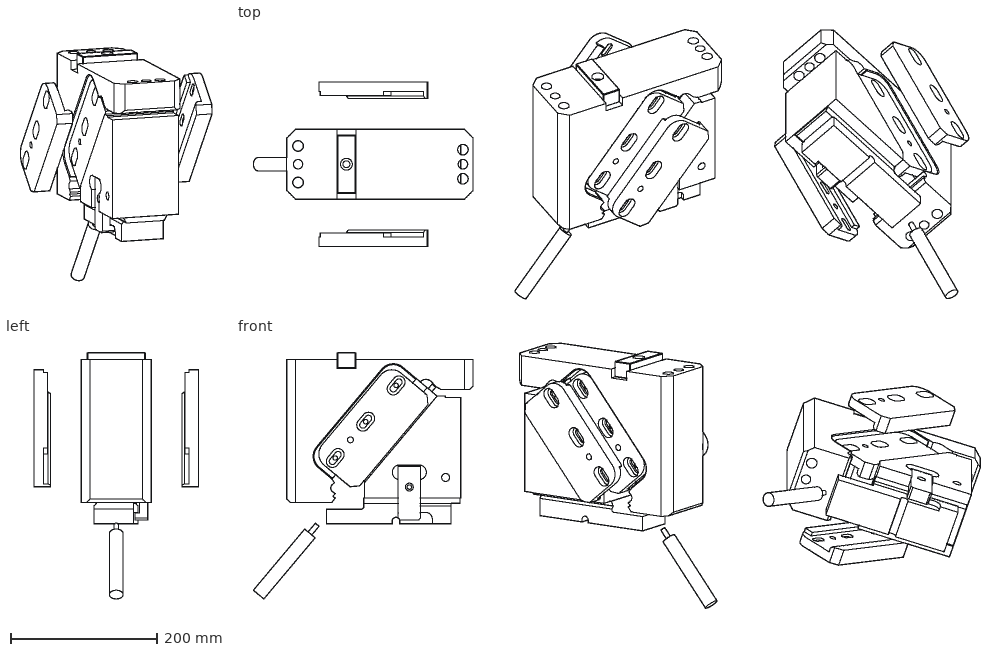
import cadquery as cq
import math


SLOPE = math.radians(50)
SLOPE_X, SLOPE_Z = 108.0, 139.5

HOUSING_LENGTH = 254.8
HOUSING_HALF_WIDTH = 48.0
HOUSING_BOTTOM, HOUSING_TOP = 29.0, 224.8
ARM_BOTTOM = 183.5
CORNER_CHAMFER = 12.0
TEETH = [(61.7, HOUSING_BOTTOM), (66.5, 35.5), (63.0, 37.8), (66.5, 41.0), (61.7, 44.8)]
HOLLOW_MIDDLE, HOLLOW_END, HOLLOW_LIP = (60.5, 49.0), (61.7, 53.0), (65.5, 56.3)
ARM_RELIEF_W = 22.2
ARM_RELIEF_MIDDLE, ARM_RELIEF_END = (189.0, 197.2), (198.2, 193.5)
ARM_RAMP_START, ARM_RAMP_END_X = (204.3, 187.0), 211.0
LOWER_CHAMFER = 5.0
POCKET_HALF_LENGTH = 89.5
POCKET_W = -29.3
POCKET_RADIUS = 19.0
POCKET_BEVEL = 1.5
SPLIT_W = 15.0
MOUNT_RADIUS, DOWEL_RADIUS = 7.0, 6.5
REAR_HOLE_X, REAR_HOLE_Y = 15.5, 25.0
FRONT_HOLE_X, FRONT_HOLE_Y = 240.5, 20.0
SCREW_RADIUS, SCREW_DEPTH = 3.0, 13.5

PLATE_HALF_LENGTH = 82.0
PLATE_W_MIN, PLATE_W_MAX = -25.3, 50.2
PLATE_REAR_RADIUS = 19.5
PLATE_CHAMFER = 9.5
PLATE_OUTER_Y = 112.5
WITHDRAWAL = 70.8
WEB_THICKNESS = 13.5
RIM_HEIGHT, RIM_WIDTH = 5.5, 13.8
RIM_INSET = 14.5
HOOK_HEIGHT, HOOK_W = 9.5, 34.5
HOOK_BEVEL = 3.5
SLOT_PITCH, SLOT_TRAVEL = 64.7, 11.8
SLOT_RADIUS, SLOT_SEAT_RADIUS, SLOT_SEAT_DEPTH = 4.5, 8.5, 10.0
DOWEL_HOLE_RADIUS = 4.0
FITTED_OUTER_Y = PLATE_OUTER_Y - WITHDRAWAL
FITTED_WEB_Y = FITTED_OUTER_Y - WEB_THICKNESS
FITTED_HOOK_Y = FITTED_WEB_Y - HOOK_HEIGHT

KEY_X_MIN, KEY_X_MAX = 68.8, 94.5
KEY_BOTTOM, KEY_TOP = 212.5, 234.3
KEY_LENGTH = 79.5
KEY_CHAMFER = 1.0
KEY_HOLE_RADIUS, KEY_SEAT_RADIUS, KEY_SEAT_DEPTH = 4.7, 8.0, 10.0

SLIDER_X_MIN, SLIDER_X_MAX = 106.2, 238.0
SLIDER_BOTTOM, SLIDER_TOP = 35.5, 173.0
PAD_TOP, PAD_X = 175.0, 216.7
SLIDER_W = 52.2
TONGUE_START_U = -63.5
CROSS_HOLE_X, CROSS_HOLE_Z = 217.0, 63.5
CROSS_HOLE_RADIUS, CROSS_HOLE_DEPTH = 5.5, 10.0

FOOT_X_MIN, FOOT_X_MAX = 54.3, 224.5
FOOT_STEP_X, FOOT_STEP_Z = 105.0, 20.2
FOOT_TOP = 28.0
FOOT_FRONT_Y, FOOT_BACK_Y = -30.0, 30.7
FOOT_CHAMFER = 3.7
FOOT_FILLET = 3.5
VEE_X_MAX = 237.0
VEE_NECK, VEE_SHOULDER = 27.5, 31.7
NOTCH_X, NOTCH_Z, NOTCH_RADIUS = 149.3, 3.7, 5.0
RELIEF_FLOOR_Y = -23.5
RELIEF_X, RELIEF_TOP, RELIEF_RADIUS = 199.0, 15.5, 8.8

CLIP_X_MIN, CLIP_X_MAX = 152.5, 182.7
CLIP_BOTTOM, CLIP_TOP = 5.0, 80.0
CLIP_OUTER_Y, CLIP_INNER_Y = -43.0, -31.7
CLIP_TOE_Y, CLIP_TOE_TOP = -25.5, 14.8
CLIP_CHAMFER = 1.7
CLIP_TOE_CHAMFER = 2.7
CLIP_SCREW_Z = 50.2
CLIP_HOLE_RADIUS, CLIP_SEAT_RADIUS, CLIP_SEAT_DEPTH = 3.0, 5.5, 5.0
CLIP_SLOT_TOP = 80.5
CLIP_SLOT_LENGTH, CLIP_SLOT_RADIUS = 46.5, 10.0

ROD_W = 39.8
ROD_START_U = -275.0
ROD_RADIUS, ROD_LENGTH = 9.5, 109.2
TIP_RADIUS, TIP_LENGTH = 3.5, 15.5
STOP_PIN_END_U = 97.8


def on_slope(u, w):
    """X and Z of a point given in the inclined frame."""
    x = SLOPE_X + u * math.cos(SLOPE) + w * math.sin(SLOPE)
    z = SLOPE_Z + u * math.sin(SLOPE) - w * math.cos(SLOPE)
    return x, z


def box(x_min, x_max, y_min, y_max, z_min, z_max):
    size = (x_max - x_min, y_max - y_min, z_max - z_min)
    return cq.Workplane().box(*size, centered=False).translate((x_min, y_min, z_min))


def facing_front(y):
    """Workplane at the given Y, local axes X and Z, normal toward -Y."""
    return cq.Workplane("XZ", origin=(0, y, 0))


def slope_plane(y):
    """Inclined workplane at the given Y: local axes u and -w, normal toward -Y."""
    direction = (math.cos(SLOPE), 0, math.sin(SLOPE))
    return cq.Workplane(cq.Plane((SLOPE_X, y, SLOPE_Z), direction, (0, -1, 0)))


def slope_block(u_min, u_max, w_min, w_max, y_min, y_max):
    """Block whose edges follow the inclined frame."""
    block = slope_plane(y_max).center((u_min + u_max) / 2, -(w_min + w_max) / 2)
    return block.rect(u_max - u_min, w_max - w_min).extrude(y_max - y_min)


def slope_rod(u_start, length, radius):
    """Round bar parallel to the slope."""
    x, z = on_slope(u_start, ROD_W)
    plane = cq.Plane((x, 0, z), (0, 1, 0), (math.cos(SLOPE), 0, math.sin(SLOPE)))
    return cq.Workplane(plane).circle(radius).extrude(length)


def corner_edge(block, u, w):
    """Edge of a block parallel to Y at the given place of the inclined frame."""
    x, z = on_slope(u, w)
    return block.edges("|Y").edges(cq.selectors.NearestToPointSelector((x, block.val().Center().y, z)))


def mirror_copy(body):
    return body.mirror("XZ")


def plate_blank(thickness, y):
    """Solid plate whose inner face lies at y, with two round rear and two chamfered front corners."""
    end = PLATE_HALF_LENGTH
    plate = slope_block(-end, end, PLATE_W_MIN, PLATE_W_MAX, y - thickness, y)
    for u in (-end, end):
        plate = corner_edge(plate, u, PLATE_W_MIN).fillet(PLATE_REAR_RADIUS)
        plate = corner_edge(plate, u, PLATE_W_MAX).chamfer(PLATE_CHAMFER)
    return plate


def make_guide_plate():
    """Withdrawn guide plate on the -Y side: web, low rear rim and tall front hook."""
    web_y = -PLATE_OUTER_Y + WEB_THICKNESS
    inner_y = web_y + HOOK_HEIGHT
    blank = plate_blank(WEB_THICKNESS + HOOK_HEIGHT, inner_y)
    end = PLATE_HALF_LENGTH
    channel = slope_block(-end, end, PLATE_W_MIN + RIM_WIDTH, HOOK_W, web_y, inner_y)
    above_rim = slope_block(-end, end, PLATE_W_MIN, HOOK_W, web_y + RIM_HEIGHT, inner_y)
    hook_x, hook_z = on_slope(0, HOOK_W)
    plate = blank.cut(channel).cut(above_rim)
    plate = plate.edges(cq.selectors.NearestToPointSelector((hook_x, inner_y, hook_z))).chamfer(HOOK_BEVEL)
    for side in (-1, 1):
        u_limits = sorted((side * (end - RIM_INSET), side * end))
        plate = plate.cut(slope_block(*u_limits, PLATE_W_MIN, HOOK_W, web_y, inner_y))

    slot_points = [(i * SLOT_PITCH, 0) for i in (-1, 0, 1)]
    for radius, depth in ((SLOT_RADIUS, WEB_THICKNESS), (SLOT_SEAT_RADIUS, SLOT_SEAT_DEPTH)):
        slots = slope_plane(-PLATE_OUTER_Y).pushPoints(slot_points)
        plate = plate.cut(slots.slot2D(SLOT_TRAVEL + 2 * radius, 2 * radius).extrude(-depth))
    dowel = slope_plane(-PLATE_OUTER_Y).center(-SLOT_PITCH / 2, 0).circle(DOWEL_HOLE_RADIUS)
    return plate.cut(dowel.extrude(-WEB_THICKNESS))


def housing_profile():
    """Side contour: rear wall, forward arm and the inclined sliding face with its clearances."""
    profile = facing_front(HOUSING_HALF_WIDTH).moveTo(0, HOUSING_TOP)
    profile = profile.lineTo(0, HOUSING_BOTTOM + LOWER_CHAMFER).lineTo(LOWER_CHAMFER, HOUSING_BOTTOM)
    for point in TEETH:
        profile = profile.lineTo(*point)
    profile = profile.threePointArc(HOLLOW_MIDDLE, HOLLOW_END).lineTo(*HOLLOW_LIP)
    profile = profile.lineTo(*on_slope(-POCKET_HALF_LENGTH, SPLIT_W))
    profile = profile.lineTo(*on_slope(POCKET_HALF_LENGTH, SPLIT_W))
    profile = profile.lineTo(*on_slope(POCKET_HALF_LENGTH, ARM_RELIEF_W))
    profile = profile.threePointArc(ARM_RELIEF_MIDDLE, ARM_RELIEF_END)
    profile = profile.lineTo(*ARM_RAMP_START).lineTo(ARM_RAMP_END_X, ARM_BOTTOM)
    profile = profile.lineTo(HOUSING_LENGTH - LOWER_CHAMFER, ARM_BOTTOM)
    profile = profile.lineTo(HOUSING_LENGTH, ARM_BOTTOM + LOWER_CHAMFER)
    return profile.lineTo(HOUSING_LENGTH, HOUSING_TOP).close()


def plan_block():
    """Octagonal plan of the housing over its whole height."""
    block = box(0, HOUSING_LENGTH, -HOUSING_HALF_WIDTH, HOUSING_HALF_WIDTH, 0, HOUSING_TOP)
    return block.edges("|Z").chamfer(CORNER_CHAMFER)


def plate_pocket():
    """Recess for the fitted plate on the -Y side, open toward the slider."""
    length = POCKET_HALF_LENGTH - POCKET_BEVEL
    rear_w = POCKET_W + POCKET_BEVEL
    bevel_y = POCKET_BEVEL - HOUSING_HALF_WIDTH
    pocket = slope_block(-length, length, rear_w, PLATE_W_MAX, bevel_y, -FITTED_WEB_Y)
    for u in (-length, length):
        pocket = corner_edge(pocket, u, rear_w).fillet(POCKET_RADIUS)
    pocket = pocket.faces("<Y").wires().toPending().extrude(POCKET_BEVEL, taper=-45)
    screws = slope_plane(-FITTED_WEB_Y).pushPoints([(i * SLOT_PITCH, 0) for i in (-1, 0, 1)])
    return pocket.union(screws.circle(SCREW_RADIUS).extrude(-SCREW_DEPTH))


def make_housing(plate):
    housing = housing_profile().extrude(2 * HOUSING_HALF_WIDTH).intersect(plan_block())
    fitted_plate = plate.translate((0, WITHDRAWAL, 0))
    pocket = plate_pocket()
    housing = housing.cut(pocket).cut(mirror_copy(pocket))
    housing = housing.union(fitted_plate).union(mirror_copy(fitted_plate))
    width = HOUSING_HALF_WIDTH
    housing = housing.cut(box(KEY_X_MIN, KEY_X_MAX, -width, width, KEY_BOTTOM, HOUSING_TOP))
    for x, y in ((REAR_HOLE_X, REAR_HOLE_Y), (FRONT_HOLE_X, FRONT_HOLE_Y)):
        outer = cq.Workplane().pushPoints([(x, -y), (x, y)]).circle(MOUNT_RADIUS)
        middle = cq.Workplane().center(x, 0).circle(DOWEL_RADIUS)
        housing = housing.cut(outer.extrude(HOUSING_TOP)).cut(middle.extrude(HOUSING_TOP))
    return housing


def make_key():
    key = box(KEY_X_MIN, KEY_X_MAX, -KEY_LENGTH / 2, KEY_LENGTH / 2, KEY_BOTTOM, KEY_TOP)
    key = key.edges().chamfer(KEY_CHAMFER)
    hole = key.faces(">Z").workplane(origin=((KEY_X_MIN + KEY_X_MAX) / 2, 0, KEY_TOP))
    return hole.cboreHole(2 * KEY_HOLE_RADIUS, 2 * KEY_SEAT_RADIUS, KEY_SEAT_DEPTH)


def slider_block():
    """Upper part of the slider in front of the guide plates."""
    dx, dz = math.sin(SLOPE), math.cos(SLOPE)
    peak_x = SLOPE_X + (SLIDER_W + (PAD_TOP - SLOPE_Z) * dz) / dx
    heel_z = SLOPE_Z - (SLIDER_W + (SLOPE_X - SLIDER_X_MIN) * dx) / dz
    outline = [
        (SLIDER_X_MIN, SLIDER_BOTTOM),
        (SLIDER_X_MAX, SLIDER_BOTTOM),
        (SLIDER_X_MAX, SLIDER_TOP),
        (PAD_X, SLIDER_TOP),
        (PAD_X, PAD_TOP),
        (peak_x, PAD_TOP),
        (SLIDER_X_MIN, heel_z),
    ]
    block = facing_front(HOUSING_HALF_WIDTH).polyline(outline).close()
    return block.extrude(2 * HOUSING_HALF_WIDTH)


def slider_tongue():
    """Part of the slider between the fitted plates, grooved for their hooks."""
    low, high = TONGUE_START_U, POCKET_HALF_LENGTH
    tongue = slope_block(low, high, SPLIT_W, SLIDER_W, -FITTED_WEB_Y, FITTED_WEB_Y)
    groove = slope_block(low, high, HOOK_W, SLIDER_W, -FITTED_WEB_Y, -FITTED_HOOK_Y)
    return tongue.cut(groove).cut(mirror_copy(groove))


def slider_foot():
    """Stepped foot below the slider with a vee section above it."""
    foot = box(FOOT_STEP_X, FOOT_X_MAX, FOOT_FRONT_Y, FOOT_BACK_Y, 0, FOOT_TOP)
    foot = foot.edges("|X and >Z").chamfer(FOOT_CHAMFER)
    foot = foot.union(box(FOOT_X_MIN, FOOT_STEP_X, FOOT_FRONT_Y, FOOT_BACK_Y, 0, FOOT_STEP_Z))
    inner_corner = cq.selectors.NearestToPointSelector((FOOT_STEP_X, 0, FOOT_STEP_Z))
    foot = foot.edges("|Y").edges(inner_corner).fillet(FOOT_FILLET)

    clip_middle = (CLIP_X_MIN + CLIP_X_MAX) / 2
    foot = foot.cut(box(FOOT_X_MIN, clip_middle, FOOT_FRONT_Y, RELIEF_FLOOR_Y, 0, FOOT_TOP))
    relief = box(clip_middle, RELIEF_X, FOOT_FRONT_Y, RELIEF_FLOOR_Y, 0, RELIEF_TOP)
    foot = foot.cut(relief.edges("|Y and >X and >Z").fillet(RELIEF_RADIUS))
    notch_length = 2 * (NOTCH_Z + NOTCH_RADIUS)
    notch = facing_front(FOOT_BACK_Y).center(NOTCH_X, 0).slot2D(notch_length, 2 * NOTCH_RADIUS, 90)
    foot = foot.cut(notch.extrude(FOOT_BACK_Y - FOOT_FRONT_Y))

    section = [
        (-VEE_NECK, FOOT_TOP),
        (VEE_NECK, FOOT_TOP),
        (VEE_SHOULDER, SLIDER_BOTTOM),
        (-VEE_SHOULDER, SLIDER_BOTTOM),
    ]
    vee = cq.Workplane("YZ", origin=(FOOT_STEP_X, 0, 0)).polyline(section).close()
    return foot.union(vee.extrude(VEE_X_MAX - FOOT_STEP_X))


def clip_seat():
    """Recess in the slider face: a horizontal slot and a channel running down from it."""
    depth = HOUSING_HALF_WIDTH + CLIP_INNER_Y
    x = (CLIP_X_MIN + CLIP_X_MAX) / 2
    z = CLIP_SLOT_TOP - CLIP_SLOT_RADIUS
    slot = facing_front(CLIP_INNER_Y).center(x, z).slot2D(CLIP_SLOT_LENGTH, 2 * CLIP_SLOT_RADIUS)
    channel = box(CLIP_X_MIN, CLIP_X_MAX, -HOUSING_HALF_WIDTH, CLIP_INNER_Y, SLIDER_BOTTOM, z)
    return slot.extrude(depth).union(channel)


def cross_hole():
    """Blind hole with a conical bottom in the slider face."""
    start = facing_front(-HOUSING_HALF_WIDTH).center(CROSS_HOLE_X, CROSS_HOLE_Z)
    bore = start.circle(CROSS_HOLE_RADIUS).extrude(-CROSS_HOLE_DEPTH)
    cone = cq.Solid.makeCone(
        CROSS_HOLE_RADIUS, 0, CROSS_HOLE_RADIUS,
        pnt=cq.Vector(CROSS_HOLE_X, CROSS_HOLE_DEPTH - HOUSING_HALF_WIDTH, CROSS_HOLE_Z),
        dir=cq.Vector(0, 1, 0),
    )
    return bore.union(cq.Workplane(cone))


def make_slider():
    slider = slider_block().cut(clip_seat()).cut(cross_hole())
    slider = slider.union(slider_tongue()).union(slider_foot())
    stop_pin = slope_rod(0, STOP_PIN_END_U, TIP_RADIUS)
    return slider.union(stop_pin)


def make_clip():
    leg = box(CLIP_X_MIN, CLIP_X_MAX, CLIP_OUTER_Y, CLIP_INNER_Y, CLIP_BOTTOM, CLIP_TOP)
    leg = leg.edges("|X and <Y and >Z").chamfer(CLIP_CHAMFER)
    clip = leg.union(box(CLIP_X_MIN, CLIP_X_MAX, CLIP_INNER_Y, CLIP_TOE_Y, CLIP_BOTTOM, CLIP_TOE_TOP))
    clip = clip.faces("<Z").edges("|Y").chamfer(CLIP_TOE_CHAMFER)
    screw = facing_front(CLIP_OUTER_Y).center((CLIP_X_MIN + CLIP_X_MAX) / 2, CLIP_SCREW_Z)
    clip = clip.cut(screw.circle(CLIP_SEAT_RADIUS).extrude(-CLIP_SEAT_DEPTH))
    return clip.cut(screw.circle(CLIP_HOLE_RADIUS).extrude(CLIP_OUTER_Y - CLIP_INNER_Y))


def make_rod():
    rod = slope_rod(ROD_START_U, ROD_LENGTH, ROD_RADIUS)
    return rod.union(slope_rod(ROD_START_U + ROD_LENGTH, TIP_LENGTH, TIP_RADIUS))


near_plate = make_guide_plate()
guide_plates = [near_plate.val(), mirror_copy(near_plate).val()]
housing = make_housing(near_plate)
key = make_key()
slider = make_slider()
clip = make_clip()
rod = make_rod()

result = cq.Compound.makeCompound(
    [housing.val(), key.val(), slider.val(), clip.val(), rod.val(), *guide_plates]
)